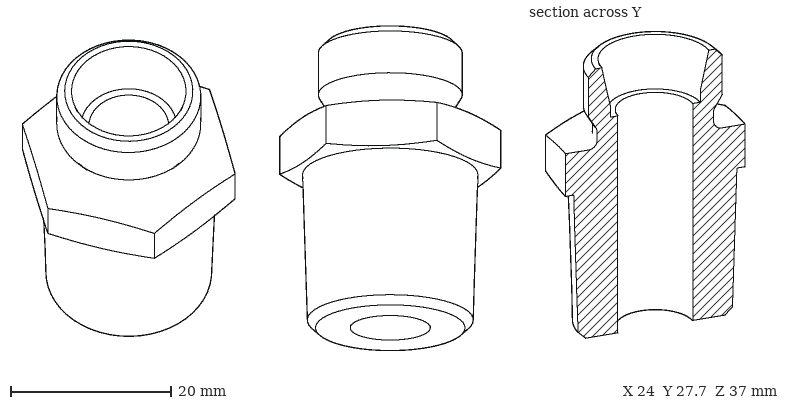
import cadquery as cq
import math

total_height = 37
hex_bottom = 20.0
hex_top = 25.97
neck_bottom = 27
neck_top = 28.6
collar_bottom = 30.52
end_chamfer_height = 1.0

across_flats = 24.0
hex_chamfer_angle = 15

collar_diameter = 18.0
collar_tip_diameter = 16.0
neck_diameter = 15.7
neck_top_fillet = 0.8

taper_large_diameter = 21.9
taper_small_diameter = 20.72
lower_tip_diameter = 18.65

bore_diameter = 10
socket_diameter = 12.0
mouth_diameter = 14.3
cone_half_angle = 12
socket_depth = 7.0


def make_hexagon():
    """Hexagonal flange with conical chamfers on its corners, top and bottom."""
    height = hex_top - hex_bottom
    across_corners = across_flats / math.cos(math.radians(30))
    prism = (
        cq.Workplane("XY", origin=(0, 0, hex_bottom))
        .polygon(6, across_corners)
        .extrude(height)
        .rotate((0, 0, 0), (0, 0, 1), 30)
    )
    flat_radius = across_flats / 2
    outer_radius = across_corners / 2 + 0.37
    drop = (outer_radius - flat_radius) * math.tan(math.radians(hex_chamfer_angle))
    envelope = (
        cq.Workplane("XZ")
        .moveTo(0, hex_bottom)
        .lineTo(flat_radius, hex_bottom)
        .lineTo(outer_radius, hex_bottom + drop)
        .lineTo(outer_radius, hex_top - drop)
        .lineTo(flat_radius, hex_top)
        .lineTo(0, hex_top)
        .close()
        .revolve(360, (0, 0), (0, 1))
    )
    return prism.intersect(envelope)


def make_upper_end():
    """Collar and undercut neck, with concave fillets at both ends of the neck."""
    neck_radius = neck_diameter / 2
    fillet_radius = neck_bottom - hex_top
    fillet_reach = fillet_radius * (1 - math.sqrt(0.5))
    lean = math.atan2(collar_diameter / 2 - neck_radius, collar_bottom - neck_top)
    neck_top_tangent = neck_top - neck_top_fillet * math.tan(lean / 2)
    neck_top_center = neck_radius + neck_top_fillet
    return (
        cq.Workplane("XZ")
        .moveTo(0, hex_bottom)
        .lineTo(neck_radius + fillet_radius, hex_bottom)
        .lineTo(neck_radius + fillet_radius, hex_top)
        .threePointArc(
            (neck_radius + fillet_reach, hex_top + fillet_reach),
            (neck_radius, neck_bottom),
        )
        .lineTo(neck_radius, neck_top_tangent)
        .threePointArc(
            (neck_top_center - neck_top_fillet * math.cos(lean / 2),
             neck_top_tangent + neck_top_fillet * math.sin(lean / 2)),
            (neck_top_center - neck_top_fillet * math.cos(lean),
             neck_top_tangent + neck_top_fillet * math.sin(lean)),
        )
        .lineTo(collar_diameter / 2, collar_bottom)
        .lineTo(collar_diameter / 2, total_height - end_chamfer_height)
        .lineTo(collar_tip_diameter / 2, total_height)
        .lineTo(0, total_height)
        .close()
        .revolve(360, (0, 0), (0, 1))
    )


def make_lower_end():
    """Tapered end with a chamfered tip."""
    return (
        cq.Workplane("XZ")
        .lineTo(lower_tip_diameter / 2, 0)
        .lineTo(taper_small_diameter / 2, end_chamfer_height)
        .lineTo(taper_large_diameter / 2, hex_bottom)
        .lineTo(0, hex_bottom)
        .close()
        .revolve(360, (0, 0), (0, 1))
    )


def make_bore():
    """Through bore with a stepped socket and a conical mouth at the top."""
    cone_depth = (mouth_diameter - socket_diameter) / 2 / math.tan(math.radians(cone_half_angle))
    return (
        cq.Workplane("XZ")
        .lineTo(bore_diameter / 2, 0)
        .lineTo(bore_diameter / 2, total_height - socket_depth)
        .lineTo(socket_diameter / 2, total_height - socket_depth)
        .lineTo(socket_diameter / 2, total_height - cone_depth)
        .lineTo(mouth_diameter / 2, total_height)
        .lineTo(0, total_height)
        .close()
        .revolve(360, (0, 0), (0, 1))
    )


result = make_hexagon().union(make_upper_end()).union(make_lower_end()).cut(make_bore())